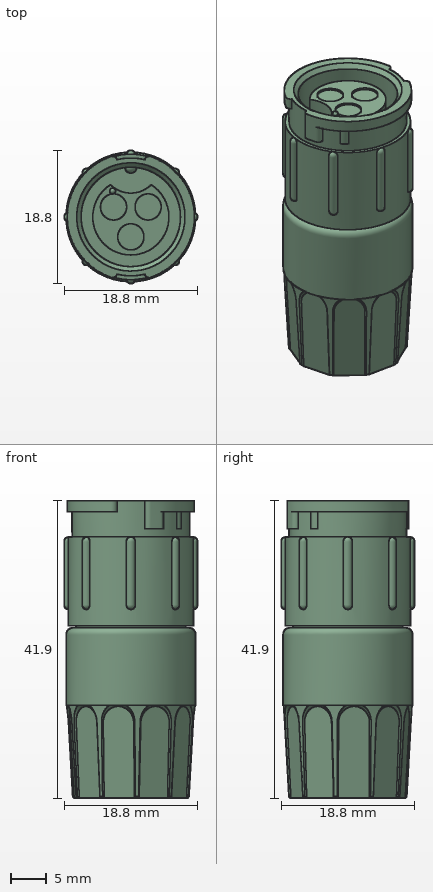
import cadquery as cq
import math

TOTAL_HEIGHT = 41.9
GRIP_TOP = 13.08
BODY_TOP = 24.0
BARREL_BOTTOM = 24.25
BARREL_TOP = 36.8
LUG_BOTTOM = 37.93
FLANGE_BOTTOM = 40.3

OVERALL_WIDTH = 18.8
GRIP_BOTTOM_RADIUS = 8.35
GRIP_TOP_RADIUS = 9.05
BODY_RADIUS = 9.15
GROOVE_RADIUS = 7.75
BARREL_RADIUS = 8.85
NECK_RADIUS = 8.3
FLANGE_RADIUS = 8.95
BODY_FILLET = 0.95
BASE_CHAMFER = 0.25

FLAT_COUNT = 10
FLAT_FIRST_ANGLE = 6.0
FLAT_APOTHEM = 7.8
FLAT_HALF_WIDTH = 2.2
FLAT_ARCH_CENTRE = 10.75
FLAT_WALL_ANGLE = 45.0
FLAT_CUT_DEPTH = 1.25

RIB_COUNT = 8
RIB_RADIUS = 0.63
RIB_CENTRE_RADIUS = OVERALL_WIDTH / 2 - RIB_RADIUS
RIB_BOTTOM = 26.55

LUG_ROUND = FLANGE_RADIUS - NECK_RADIUS
LUG_START_ANGLE = 18.2
LUG_END_ANGLE = 28.5
DETENT_ANGLE = 55.1
DETENT_RADIUS = 1.0
DETENT_HEIGHT = 0.15

SOCKET_RADIUS = 7.0
SOCKET_RIM_RADIUS = 7.63
SOCKET_FLOOR = 31.85
INSERT_RADIUS = 5.35
INSERT_TOP = FLANGE_BOTTOM
SCALLOP_RADIUS = 4.05
SCALLOP_DEEPEST_Y = 3.35
CONTACT_COUNT = 3
CONTACT_RADIUS = 1.85
CONTACT_CIRCLE_RADIUS = 2.8
CONTACT_DEPTH = 0.25
KEY_RADIUS = 0.85
KEY_TIP = 40.6
MARK_RADIUS = 0.4
MARK_X = -2.55
MARK_Y = 3.65


def cylinder(radius, bottom, top, x=0.0, y=0.0):
    return cq.Workplane("XY", origin=(x, y, bottom)).circle(radius).extrude(top - bottom)


def ball(radius, x, y, z):
    return cq.Workplane("XY", origin=(x, y, z)).sphere(radius)


def spin(shape, angle):
    return shape.rotate((0, 0, 0), (0, 0, 1), angle)


def make_shell():
    """Turned outside of the body, barrel and neck."""
    return (
        cq.Workplane("XZ")
        .moveTo(0, GRIP_TOP)
        .lineTo(BODY_RADIUS, GRIP_TOP)
        .lineTo(BODY_RADIUS, BODY_TOP - BODY_FILLET)
        .radiusArc((BODY_RADIUS - BODY_FILLET, BODY_TOP), -BODY_FILLET)
        .lineTo(GROOVE_RADIUS, BODY_TOP)
        .lineTo(GROOVE_RADIUS, BARREL_BOTTOM)
        .lineTo(BARREL_RADIUS, BARREL_BOTTOM)
        .lineTo(BARREL_RADIUS, BARREL_TOP)
        .lineTo(NECK_RADIUS, BARREL_TOP)
        .lineTo(NECK_RADIUS, TOTAL_HEIGHT)
        .lineTo(0, TOTAL_HEIGHT)
        .close()
        .revolve(360, (0, 0, 0), (0, 1, 0))
    )


def make_flat_cutter():
    """Arched flat on the +X side, leaning with the grip taper, its walls flaring outward."""
    lean = math.atan2(GRIP_TOP_RADIUS - GRIP_BOTTOM_RADIUS, GRIP_TOP)
    plane = cq.Plane(
        origin=(FLAT_APOTHEM, 0, 0),
        xDir=(0, 1, 0),
        normal=(math.cos(lean), 0, -math.sin(lean)),
    )
    below_base = -2 * FLAT_CUT_DEPTH
    return (
        cq.Workplane(plane)
        .moveTo(-FLAT_HALF_WIDTH, below_base)
        .lineTo(FLAT_HALF_WIDTH, below_base)
        .lineTo(FLAT_HALF_WIDTH, FLAT_ARCH_CENTRE)
        .threePointArc((0, FLAT_ARCH_CENTRE + FLAT_HALF_WIDTH), (-FLAT_HALF_WIDTH, FLAT_ARCH_CENTRE))
        .close()
        .extrude(FLAT_CUT_DEPTH, taper=-FLAT_WALL_ANGLE)
    )


def make_grip():
    """Tapered cable grip with a ring of arched flats."""
    grip = (
        cq.Workplane("XZ")
        .moveTo(0, 0)
        .lineTo(GRIP_BOTTOM_RADIUS - BASE_CHAMFER, 0)
        .lineTo(GRIP_BOTTOM_RADIUS, BASE_CHAMFER)
        .lineTo(GRIP_TOP_RADIUS, GRIP_TOP)
        .lineTo(0, GRIP_TOP)
        .close()
        .revolve(360, (0, 0, 0), (0, 1, 0))
    )
    flat_cutter = make_flat_cutter()
    for index in range(FLAT_COUNT):
        grip = grip.cut(spin(flat_cutter, FLAT_FIRST_ANGLE + index * 360 / FLAT_COUNT))
    return grip


def make_rib():
    """Vertical rib with domed ends on the +X side."""
    lower = RIB_BOTTOM + RIB_RADIUS
    upper = BARREL_TOP - RIB_RADIUS
    rib = cylinder(RIB_RADIUS, lower, upper, RIB_CENTRE_RADIUS)
    for end in (lower, upper):
        rib = rib.union(ball(RIB_RADIUS, RIB_CENTRE_RADIUS, 0, end))
    return rib


def ring_sector(start, end, bottom, top):
    """Ring between neck and flange radii, angles measured from -Y towards +X, with rounded ends."""
    def at(radius, angle):
        turn = math.radians(angle)
        return radius * math.sin(turn), -radius * math.cos(turn)

    inner = NECK_RADIUS - LUG_ROUND
    middle = (start + end) / 2
    sector = (
        cq.Workplane("XY", origin=(0, 0, bottom))
        .moveTo(*at(inner, start))
        .lineTo(*at(FLANGE_RADIUS, start))
        .threePointArc(at(FLANGE_RADIUS, middle), at(FLANGE_RADIUS, end))
        .lineTo(*at(inner, end))
        .threePointArc(at(inner, middle), at(inner, start))
        .close()
        .extrude(top - bottom)
    )
    for angle in (start, end):
        sector = sector.union(cylinder(LUG_ROUND, bottom, top, *at(NECK_RADIUS, angle)))
    return sector


def make_bayonet_side():
    """Half of the slotted flange, with the lug and the detent below it."""
    flange = ring_sector(LUG_START_ANGLE, 180 - LUG_START_ANGLE, FLANGE_BOTTOM, TOTAL_HEIGHT)
    lug = ring_sector(LUG_START_ANGLE, LUG_END_ANGLE, LUG_BOTTOM, FLANGE_BOTTOM)
    detent_centre = NECK_RADIUS + DETENT_HEIGHT - DETENT_RADIUS
    detent = cylinder(DETENT_RADIUS, LUG_BOTTOM, FLANGE_BOTTOM, 0, -detent_centre)
    return flange.union(lug).union(spin(detent, DETENT_ANGLE))


def make_socket():
    """Open socket with a conical mouth."""
    mouth_depth = SOCKET_RIM_RADIUS - SOCKET_RADIUS
    return (
        cq.Workplane("XZ")
        .moveTo(0, SOCKET_FLOOR)
        .lineTo(SOCKET_RADIUS, SOCKET_FLOOR)
        .lineTo(SOCKET_RADIUS, TOTAL_HEIGHT - mouth_depth)
        .lineTo(SOCKET_RIM_RADIUS, TOTAL_HEIGHT)
        .lineTo(0, TOTAL_HEIGHT)
        .close()
        .revolve(360, (0, 0, 0), (0, 1, 0))
    )


def make_insert():
    """Contact carrier with a scallop facing the key, shallow contact recesses and an index bump."""
    insert = cylinder(INSERT_RADIUS, SOCKET_FLOOR, INSERT_TOP)
    scallop_y = SCALLOP_DEEPEST_Y + SCALLOP_RADIUS
    insert = insert.cut(cylinder(SCALLOP_RADIUS, SOCKET_FLOOR, INSERT_TOP, 0, scallop_y))
    recess = cylinder(CONTACT_RADIUS, INSERT_TOP - CONTACT_DEPTH, INSERT_TOP, 0, -CONTACT_CIRCLE_RADIUS)
    for index in range(CONTACT_COUNT):
        insert = insert.cut(spin(recess, index * 360 / CONTACT_COUNT))
    return insert.union(ball(MARK_RADIUS, MARK_X, MARK_Y, INSERT_TOP))


def make_key():
    """Domed key post half sunk in the socket wall."""
    dome_centre = KEY_TIP - KEY_RADIUS
    post = cylinder(KEY_RADIUS, SOCKET_FLOOR, dome_centre, 0, SOCKET_RADIUS)
    return post.union(ball(KEY_RADIUS, 0, SOCKET_RADIUS, dome_centre))


def build():
    part = make_grip().union(make_shell())
    rib = make_rib()
    for index in range(RIB_COUNT):
        part = part.union(spin(rib, index * 360 / RIB_COUNT))
    side = make_bayonet_side()
    for angle in (0, 180):
        part = part.union(spin(side, angle))
    return part.cut(make_socket()).union(make_insert()).union(make_key())


result = build()